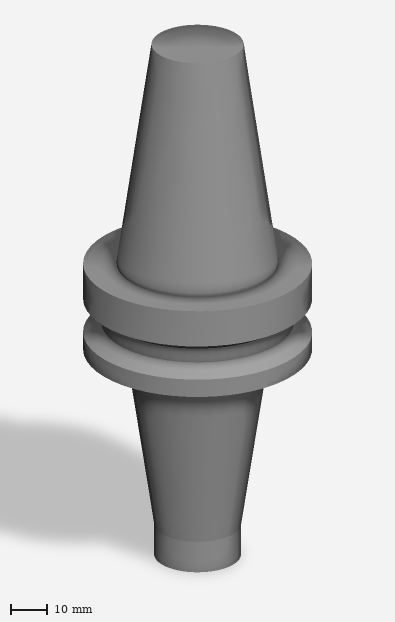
import cadquery as cq

total_height = 154.4

nose_diameter = 24.0
nose_height = 9.3
nose_cone_top_diameter = 38.5
nose_cone_top_z = 57.7

shoulder_diameter = 48.6
shoulder_height = 4.3

flange_diameter = 63.0
lower_rim_height = 5.2
groove_diameter = 53.0
groove_side_height = 3.0
groove_floor_height = 4.2
upper_rim_height = 10.7

taper_diameter = 44.5
taper_step_height = 1.0
taper_ratio = 7 / 24

flange_bottom_z = nose_cone_top_z + shoulder_height
lower_rim_top_z = flange_bottom_z + lower_rim_height
groove_floor_bottom_z = lower_rim_top_z + groove_side_height
groove_floor_top_z = groove_floor_bottom_z + groove_floor_height
upper_rim_bottom_z = groove_floor_top_z + groove_side_height
flange_top_z = upper_rim_bottom_z + upper_rim_height
taper_start_z = flange_top_z + taper_step_height
taper_top_diameter = taper_diameter - taper_ratio * (total_height - taper_start_z)

corners = [
    (0, 0),
    (nose_diameter, 0),
    (nose_diameter, nose_height),
    (nose_cone_top_diameter, nose_cone_top_z),
    (shoulder_diameter, flange_bottom_z),
    (flange_diameter, flange_bottom_z),
    (flange_diameter, lower_rim_top_z),
    (groove_diameter, groove_floor_bottom_z),
    (groove_diameter, groove_floor_top_z),
    (flange_diameter, upper_rim_bottom_z),
    (flange_diameter, flange_top_z),
    (taper_diameter, flange_top_z),
    (taper_diameter, taper_start_z),
    (taper_top_diameter, total_height),
    (0, total_height),
]

outline = [(diameter / 2, z) for diameter, z in corners]
result = cq.Workplane("XZ").polyline(outline).close().revolve(360, (0, 0), (0, 1))